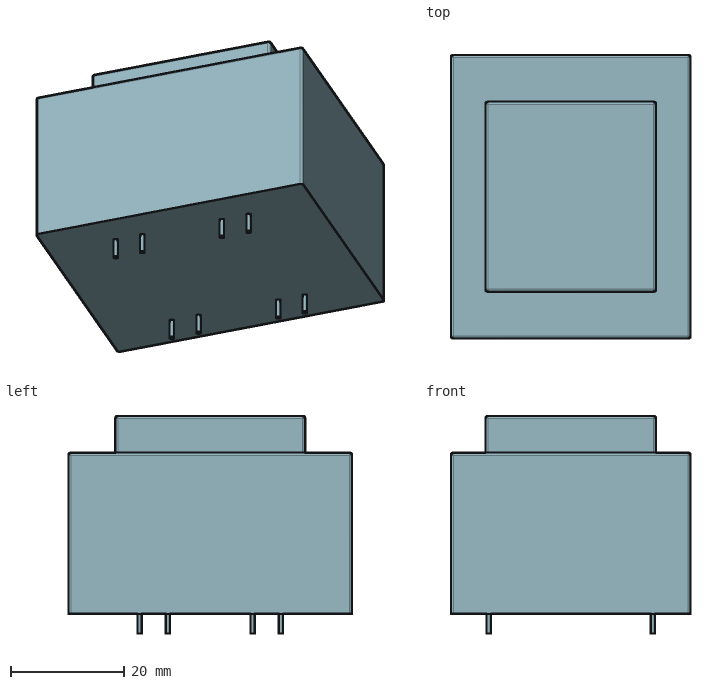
import cadquery as cq

body_length_x = 42.4
body_length_y = 50.2
body_height = 28.5

cap_length_x = 30.2
cap_length_y = 33.6
cap_height = 6.5

edge_radius = 0.5

pin_diameter = 0.8
pin_length = 3.5
pin_row_spacing = 29
pin_pitch = 5.0
inner_pin_y = 1.5 * pin_pitch
outer_pin_y = inner_pin_y + pin_pitch
pin_y_positions = (-outer_pin_y, -inner_pin_y, inner_pin_y, outer_pin_y)


def rounded_block(length_x, length_y, height, base_z):
    """Block with rounded vertical and top edges and a sharp bottom rim."""
    block = cq.Workplane("XY").workplane(offset=base_z).rect(length_x, length_y).extrude(height)
    return block.edges("|Z or >Z").fillet(edge_radius)


def make_pins():
    """All pins, hanging down from the underside of the body."""
    row_x = pin_row_spacing / 2
    centres = [(x, y) for x in (-row_x, row_x) for y in pin_y_positions]
    return cq.Workplane("XY").pushPoints(centres).circle(pin_diameter / 2).extrude(-pin_length)


body = rounded_block(body_length_x, body_length_y, body_height, base_z=0)
cap = rounded_block(cap_length_x, cap_length_y, cap_height, base_z=body_height)

result = body.union(cap).union(make_pins())